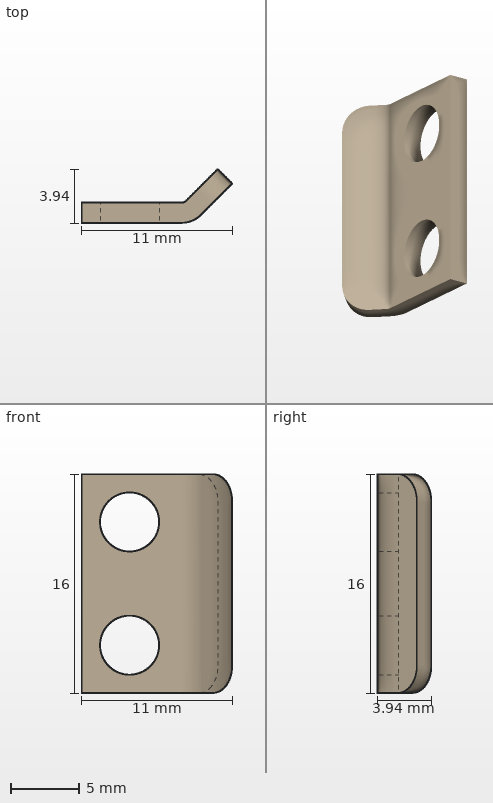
import cadquery as cq
import math

overall_length = 11.0
height = 16.0
thickness = 1.5
bend_angle = 45.0
inner_bend_radius = 0.5
inner_corner_x = 7.5
flange_corner_radius = 2.0
hole_diameter = 4.3
hole_x = 3.5
hole_edge_distance = 3.5

angle = math.radians(bend_angle)
outer_bend_radius = inner_bend_radius + thickness
bend_start_x = inner_corner_x - inner_bend_radius * math.tan(angle / 2)
bend_center_y = outer_bend_radius
outer_bend_end_x = bend_start_x + outer_bend_radius * math.sin(angle)
flange_length = (overall_length - outer_bend_end_x) / math.cos(angle)


def bend_point(radius, turn, along=0.0):
    """Point at a radius from the bend axis after a turn, then carried on along the tangent."""
    x = bend_start_x + radius * math.sin(turn) + along * math.cos(turn)
    y = bend_center_y - radius * math.cos(turn) + along * math.sin(turn)
    return (x, y)


def make_bent_plate():
    """Flat base and angled flange joined by a bend of constant thickness."""
    return (
        cq.Workplane("XY")
        .lineTo(*bend_point(outer_bend_radius, 0))
        .threePointArc(bend_point(outer_bend_radius, angle / 2), bend_point(outer_bend_radius, angle))
        .lineTo(*bend_point(outer_bend_radius, angle, flange_length))
        .lineTo(*bend_point(inner_bend_radius, angle, flange_length))
        .lineTo(*bend_point(inner_bend_radius, angle))
        .threePointArc(bend_point(inner_bend_radius, angle / 2), bend_point(inner_bend_radius, 0))
        .lineTo(0, thickness)
        .close()
        .extrude(height)
    )


def round_flange_corners(plate):
    """Round the two free corners of the flange through its thickness."""
    across_flange = cq.Vector(-math.sin(angle), math.cos(angle), 0)
    tip_edges = plate.edges(cq.selectors.ParallelDirSelector(across_flange))
    tip_edges = tip_edges.edges(">X")
    return tip_edges.fillet(flange_corner_radius)


def make_holes():
    """Cutters for the two through holes in the base."""
    centers = [(hole_x, hole_edge_distance), (hole_x, height - hole_edge_distance)]
    return (
        cq.Workplane("XZ")
        .pushPoints(centers)
        .circle(hole_diameter / 2)
        .extrude(-thickness)
    )


result = round_flange_corners(make_bent_plate()).cut(make_holes())